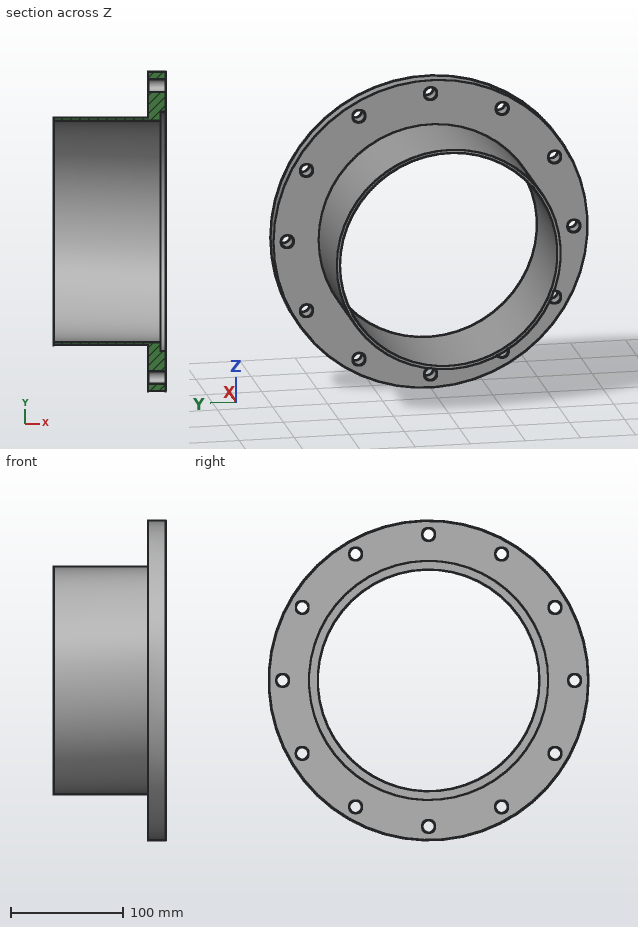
import cadquery as cq

total_length = 100.0
flange_thickness = 16.0
flange_diameter = 285.0
flange_edge_chamfer = 0.5
tube_outer_diameter = 203.2
tube_inner_diameter = 197.2
recess_diameter = 213.0
recess_depth = 4.6
bolt_hole_diameter = 11.0
bolt_hole_chamfer = 0.5
bolt_circle_diameter = 260.0
bolt_count = 12

flange_back_x = total_length - flange_thickness


def disc_along_x(diameter, start_x, length):
    """Solid cylinder on the X axis, growing towards +X."""
    return cq.Workplane("YZ").workplane(offset=start_x).circle(diameter / 2).extrude(length)


def bolt_holes():
    """Ring of evenly spaced through-hole cutters, the first one on the +Y side.

    Each cutter widens to a small chamfer where it leaves the back of the flange.
    """
    hole_radius = bolt_hole_diameter / 2
    mouth_radius = hole_radius + bolt_hole_chamfer
    cutter = (
        cq.Workplane("XY")
        .moveTo(flange_back_x, 0)
        .lineTo(flange_back_x, mouth_radius)
        .lineTo(flange_back_x + bolt_hole_chamfer, hole_radius)
        .lineTo(total_length, hole_radius)
        .lineTo(total_length, 0)
        .close()
        .revolve(360, (0, 0, 0), (1, 0, 0))
        .translate((0, bolt_circle_diameter / 2, 0))
    )
    cutters = cq.Workplane("YZ")
    for index in range(bolt_count):
        angle = index * 360 / bolt_count
        cutters = cutters.add(cutter.rotate((0, 0, 0), (1, 0, 0), angle))
    return cutters.combine()


tube = disc_along_x(tube_outer_diameter, 0, total_length)
flange = disc_along_x(flange_diameter, flange_back_x, flange_thickness)
flange = flange.faces(">X").edges().chamfer(flange_edge_chamfer)
bore = disc_along_x(tube_inner_diameter, 0, total_length)
recess = disc_along_x(recess_diameter, total_length - recess_depth, recess_depth)

result = tube.union(flange).cut(bore).cut(recess).cut(bolt_holes())